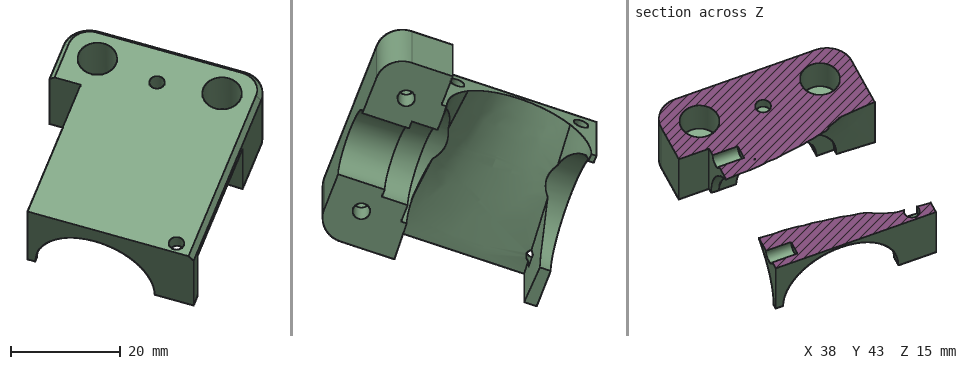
import cadquery as cq

width = 38.0
depth = 43.0
height = 15.0
notch_width = 6.0
notch_depth = 30.0
corner_radius = 5.0
top_chamfer = 1.0
overcut = 0.45

shaft_x = width / 2
clearance_radius = 11.5
clearance_depth = 29.0
seat_radius = 8.0
seat_depth = 33.95
shaft_radius = 6.5

passage_y = notch_depth / 2
passage_radius = 14.0
passage_half_square = 12.55

screw_diameter = 3.2
head_diameter = 7.2
head_depth = 9.9
screw_edge_distance = 7.0
screw_y = 36.5

pin_diameter = 2.8
pin_depth = 5.0
top_pin_points = [(shaft_x, 35.0), (34.0, 2.0)]
side_pin_offset = 12.0
side_pin_z = 12.0


def make_block():
    outline = (
        cq.Workplane("XY")
        .moveTo(notch_width, 0)
        .lineTo(width, 0)
        .lineTo(width, depth)
        .lineTo(0, depth)
        .lineTo(0, notch_depth)
        .lineTo(notch_width, notch_depth)
        .close()
    )
    block = outline.extrude(height).edges("|Z and >Y").fillet(corner_radius)
    top_edges = block.faces(">Z").edges("<X or >X or >Y or %CIRCLE")
    return top_edges.chamfer(top_chamfer)


def shaft_cylinder(radius, end_y):
    return (
        cq.Workplane("XZ", origin=(shaft_x, -overcut, 0))
        .circle(radius)
        .extrude(-(end_y + overcut))
    )


def cross_passage():
    return (
        cq.Workplane("YZ", origin=(notch_width, passage_y, 0))
        .circle(passage_radius)
        .workplane(offset=width - notch_width)
        .rect(2 * passage_half_square, 2 * passage_half_square)
        .loft(ruled=True)
    )


def screw_holes():
    points = [(screw_edge_distance, screw_y), (width - screw_edge_distance, screw_y)]
    shanks = cq.Workplane("XY").pushPoints(points).circle(screw_diameter / 2).extrude(height)
    heads = (
        cq.Workplane("XY", origin=(0, 0, height))
        .pushPoints(points)
        .circle(head_diameter / 2)
        .extrude(-head_depth)
    )
    return shanks.union(heads)


def top_pin_holes():
    return (
        cq.Workplane("XY", origin=(0, 0, height))
        .pushPoints(top_pin_points)
        .circle(pin_diameter / 2)
        .extrude(-pin_depth)
    )


def side_pin_holes():
    return (
        cq.Workplane("YZ", origin=(notch_width, passage_y, side_pin_z))
        .pushPoints([(-side_pin_offset, 0), (side_pin_offset, 0)])
        .circle(pin_diameter / 2)
        .extrude(pin_depth)
    )


result = make_block()
for bore_radius, bore_end in [
    (clearance_radius, clearance_depth),
    (seat_radius, seat_depth),
    (shaft_radius, depth + overcut),
]:
    result = result.cut(shaft_cylinder(bore_radius, bore_end))
result = result.cut(cross_passage())
result = result.cut(screw_holes()).cut(top_pin_holes()).cut(side_pin_holes())